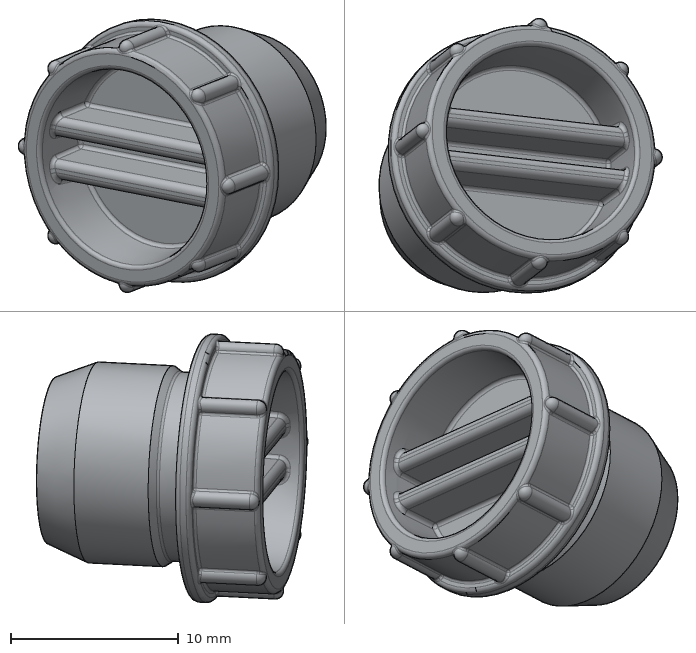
import cadquery as cq
import math

total_length = 14.0
flange_front = 4.0
flange_back = 5.0
neck_end = 6.5
body_start = 7.0
taper_start = 11.52

flange_radius = 8.0
cap_radius = 7.3
neck_radius = 11.3 / 2
body_radius = 12 / 2
tip_radius = 10.0 / 2

edge_round = 0.3

cavity_depth = 3.8
cavity_mouth_radius = 6.02
cavity_floor_radius = 5.76
cavity_mouth_round = 0.25
cavity_inner_round = 0.24

rib_count = 8
rib_radius = 0.5
rib_center_radius = 7.33
rib_root_round = 0.16

bar_offset = 1.33
bar_base_half_width = 0.74
bar_top_half_width = 0.58
bar_front = 1.0
bar_top_round = 0.48


def round_ring(solid, radius, y, round_radius):
    """Fillet the circular edge of the given radius that lies at height y on the Y axis."""
    tolerance = 0.002

    def is_ring(edge):
        return abs(edge.radius() - radius) < tolerance and abs(edge.Center().y - y) < tolerance

    return solid.edges("%CIRCLE").filter(is_ring).fillet(round_radius)


def turned_body():
    """Solid of revolution: cap, flange, neck, plug and tapered tip."""
    outline = [
        (0, 0),
        (cap_radius, 0),
        (cap_radius, flange_front),
        (flange_radius, flange_front),
        (flange_radius, flange_back),
        (neck_radius, flange_back),
        (neck_radius, neck_end),
        (body_radius, body_start),
        (body_radius, taper_start),
        (tip_radius, total_length),
        (0, total_length),
    ]
    body = cq.Workplane("XY").polyline(outline).close().revolve(360, (0, 0, 0), (0, 1, 0))
    for radius, y in [
        (cap_radius, 0),
        (flange_radius, flange_front),
        (flange_radius, flange_back),
        (neck_radius, flange_back),
        (neck_radius, neck_end),
    ]:
        body = round_ring(body, radius, y, edge_round)
    return body


def add_ribs(body):
    """Round-ended grip ribs along the cap, evenly spaced."""
    rod_length = flange_front + edge_round - rib_radius
    rod = cq.Workplane("XZ", origin=(rib_center_radius, rib_radius, 0)).circle(rib_radius).extrude(-rod_length)
    ball = cq.Workplane("XY", origin=(rib_center_radius, rib_radius, 0)).sphere(rib_radius)
    rib = rod.union(ball)
    for index in range(rib_count):
        body = body.union(rib.rotate((0, 0, 0), (0, 1, 0), index * 360 / rib_count))
    return body


def round_rib_roots(body):
    """Fillet where the ribs meet the cap, and where ribs and cap meet the flange."""
    tolerance = 0.002

    def is_rib_side(edge):
        center = edge.Center()
        on_cap = abs(math.hypot(center.x, center.z) - cap_radius) < tolerance
        return on_cap and edge.BoundingBox().ymin > rib_radius - tolerance

    def is_flange_corner(edge):
        on_flange = abs(edge.Center().y - flange_front) < tolerance
        return on_flange and min(abs(edge.radius() - cap_radius), abs(edge.radius() - rib_radius)) < tolerance

    rib_sides = body.edges("|Y").filter(is_rib_side).vals()
    flange_corners = body.edges("%CIRCLE").filter(is_flange_corner).vals()
    return body.newObject(rib_sides + flange_corners).fillet(rib_root_round)


def bar(z):
    """Drafted bar with a rounded crest, long enough to cross the cavity at the given z."""
    length = 2 * cavity_mouth_radius
    outline = [
        (cavity_depth, z - bar_base_half_width),
        (bar_front, z - bar_top_half_width),
        (bar_front, z + bar_top_half_width),
        (cavity_depth, z + bar_base_half_width),
    ]
    block = cq.Workplane("YZ", origin=(-length / 2, 0, 0)).polyline(outline).close().extrude(length)
    return block.faces("<Y").edges("|X").fillet(bar_top_round)


def cavity():
    """Drafted recess with two bars left standing on its floor; floor and bar ends are filleted."""
    outline = [
        (0, 0),
        (cavity_mouth_radius, 0),
        (cavity_floor_radius, cavity_depth),
        (0, cavity_depth),
    ]
    recess = cq.Workplane("XY").polyline(outline).close().revolve(360, (0, 0, 0), (0, 1, 0))
    for side in (-1, 1):
        recess = recess.cut(bar(side * bar_offset))
    floor_edges = recess.faces(">Y").edges().vals()
    bar_end_edges = recess.edges("not(%LINE or <Y or >Y)").vals()
    return recess.newObject(floor_edges + bar_end_edges).fillet(cavity_inner_round)


body = round_rib_roots(add_ribs(turned_body()))
body = body.cut(cavity())
result = round_ring(body, cavity_mouth_radius, 0, cavity_mouth_round)